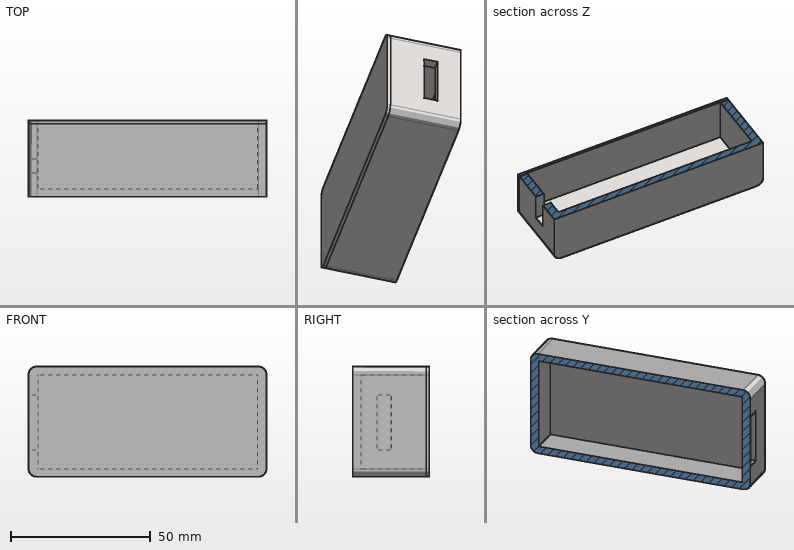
import cadquery as cq

LENGTH = 85.1
DEPTH = 27.4
HEIGHT = 39.5
WALL = 3.0
CORNER_RADIUS = WALL
END_WALL = 3.3

LID_THICKNESS = 1.2
HOUSING_DEPTH = DEPTH - LID_THICKNESS

SLOT_WIDTH = 5.0
SLOT_HEIGHT = 19.6
SLOT_FRONT_OFFSET = 8.7
SLOT_CENTER_Z = -0.2


def rounded_plate(front_y, thickness):
    """Rectangle with rounded corners in XZ, extruded toward +Y from front_y."""
    return (
        cq.Workplane("XZ", origin=(0, front_y, 0))
        .rect(LENGTH, HEIGHT)
        .extrude(-thickness)
        .edges("|Y")
        .fillet(CORNER_RADIUS)
    )


def make_cavity():
    """Interior space, open toward the lid."""
    return cq.Workplane("XY").box(
        LENGTH - 2 * END_WALL,
        HOUSING_DEPTH - WALL,
        HEIGHT - 2 * WALL,
        centered=(True, False, True),
    ).translate((0, WALL, 0))


def make_slot():
    """Rectangular opening from the -X face into the cavity."""
    return cq.Workplane("XY").box(
        END_WALL,
        SLOT_WIDTH,
        SLOT_HEIGHT,
        centered=(False, False, True),
    ).translate((-LENGTH / 2, SLOT_FRONT_OFFSET, SLOT_CENTER_Z))


def make_housing():
    """Hollow box with a closed front, an open back and a slot in one end."""
    return rounded_plate(0, HOUSING_DEPTH).cut(make_cavity()).cut(make_slot())


def make_lid():
    """Plain lid with the same outline as the housing."""
    return rounded_plate(HOUSING_DEPTH, LID_THICKNESS)


housing = make_housing()
lid = make_lid()

result = cq.Compound.makeCompound([housing.val(), lid.val()])